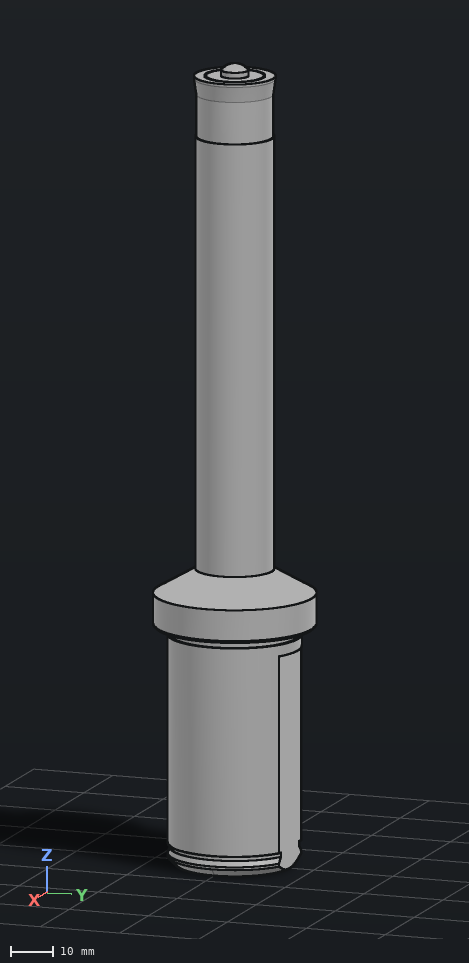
import cadquery as cq
import math

shank_radius = 16.0
shank_top = 56.0
bottom_chamfer = 2.0
bottom_land_top = 2.7
groove_radius = 15.4
groove_floor_bottom = 4.1
groove_top = 5.2
relief_radius = 15.5

flat_offset = 14.0
flat_top = 53.2

collar_radius = 19.5
collar_bottom = 58.0
collar_edge_chamfer = 0.6
collar_cone_base = 66.1
collar_cone_angle = math.radians(30)

stem_radius = 9.4
sleeve_radius = 9.2
sleeve_bottom = 177.3
flare_bottom = 187.5
flare_radius = 9.75
flare_top = 191.3
head_top = 192.0

cap_radius = 7.2
cap_gap = 0.3
cap_gap_depth = 0.5

tip_radius = 3.3
overall_height = 195.0
tip_shoulder = 193.4


def make_body():
    """Turned body: shank, collar, stem and flared head."""
    cone_height = (collar_radius - stem_radius) * math.tan(collar_cone_angle)
    outline = [
        (0, 0),
        (shank_radius - bottom_chamfer, 0),
        (shank_radius, bottom_chamfer),
        (shank_radius, bottom_land_top),
        (groove_radius, groove_floor_bottom),
        (groove_radius, groove_top),
        (shank_radius, groove_top),
        (shank_radius, shank_top),
        (relief_radius, shank_top),
        (relief_radius, collar_bottom),
        (collar_radius - collar_edge_chamfer, collar_bottom),
        (collar_radius, collar_bottom + collar_edge_chamfer),
        (collar_radius, collar_cone_base),
        (stem_radius, collar_cone_base + cone_height),
        (stem_radius, sleeve_bottom),
        (sleeve_radius, sleeve_bottom),
        (sleeve_radius, flare_bottom),
        (flare_radius, flare_top),
        (flare_radius, head_top),
        (0, head_top),
    ]
    return cq.Workplane("XZ").polyline(outline).close().revolve(360, (0, 0), (0, 1))


def make_flat_cutter():
    """Block that removes the shank beyond the flat."""
    return cq.Workplane("XY").box(
        2 * shank_radius, shank_radius, flat_top, centered=(True, False, False)
    ).translate((0, flat_offset, 0))


def make_cap_gap():
    """Narrow ring groove around the cap."""
    return (
        cq.Workplane("XY", origin=(0, 0, head_top - cap_gap_depth))
        .circle(cap_radius)
        .circle(cap_radius - cap_gap)
        .extrude(cap_gap_depth)
    )


def make_tip():
    """Round pin ending in a spherical dome."""
    dome_height = overall_height - tip_shoulder
    dome_radius = (tip_radius**2 + dome_height**2) / (2 * dome_height)
    half_angle = math.asin(tip_radius / dome_radius) / 2
    dome_center = overall_height - dome_radius
    dome_middle = (
        dome_radius * math.sin(half_angle),
        dome_center + dome_radius * math.cos(half_angle),
    )
    return (
        cq.Workplane("XZ")
        .moveTo(0, head_top)
        .lineTo(tip_radius, head_top)
        .lineTo(tip_radius, tip_shoulder)
        .threePointArc(dome_middle, (0, overall_height))
        .close()
        .revolve(360, (0, 0), (0, 1))
    )


result = make_body().cut(make_flat_cutter()).cut(make_cap_gap()).union(make_tip())